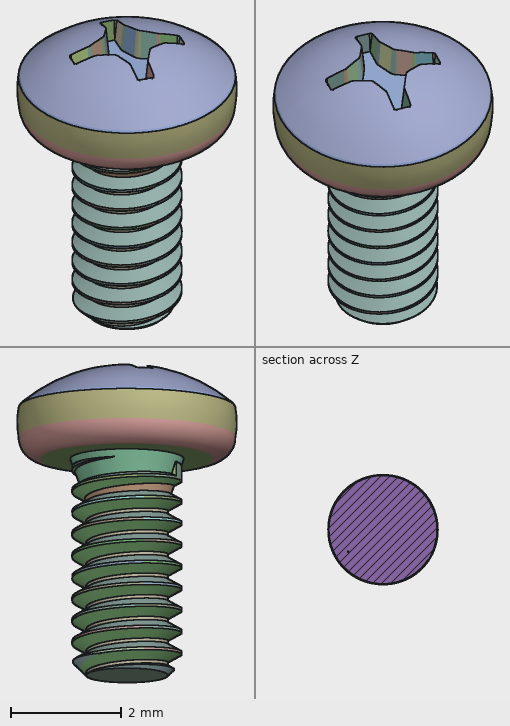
import cadquery as cq
import math


HEAD_RADIUS = 2.0
HEAD_BULGE = 0.025
UNDERSIDE_ROUND = 0.4
DOME_RADIUS = 3.0
DOME_TOP = 1.7
DOME_EDGE_RADIUS = 1.945
SIDE_TOP = 0.945

RECESS_FLOOR = 1.1
RECESS_DRAFT = 5.5
ARM_LENGTH = 1.02
ARM_HALF_WIDTH = 0.12
ARM_ROOT = 0.65
INNER_CORNER = 0.29
WALL_ROUND = 0.2

LENGTH = 4.0
SHANK_RADIUS = 1.0
TIP_CHAMFER = 0.255
NECK_RADIUS = 1.035
NECK_PLAIN_TOP = 0.13
NECK_CONE_LENGTH = 0.8

PITCH = 0.4
THREAD_DEPTH = 0.25
ROOT_RADIUS = SHANK_RADIUS - THREAD_DEPTH
CREST_WIDTH = PITCH / 8
FLANK_ANGLE = 30.0
GROOVE_TOP = -0.27
GROOVE_TURNS = 10
GROOVE_RUNOUT = 1 / 8
CLEARANCE = 0.03


def dome_height(radius):
    """Height of the spherical dome at a distance from the axis."""
    return DOME_TOP - DOME_RADIUS + math.sqrt(DOME_RADIUS**2 - radius**2)


def make_head():
    wall_radius = HEAD_RADIUS - HEAD_BULGE
    round_center = wall_radius - UNDERSIDE_ROUND
    round_middle = UNDERSIDE_ROUND * math.sin(math.radians(45))
    dome_middle = DOME_EDGE_RADIUS / 2
    side_middle = (UNDERSIDE_ROUND + SIDE_TOP) / 2
    return (
        cq.Workplane("YZ")
        .moveTo(0, 0)
        .lineTo(round_center, 0)
        .threePointArc(
            (round_center + round_middle, UNDERSIDE_ROUND - round_middle),
            (wall_radius, UNDERSIDE_ROUND),
        )
        .threePointArc((HEAD_RADIUS, side_middle), (wall_radius, SIDE_TOP))
        .lineTo(DOME_EDGE_RADIUS, dome_height(DOME_EDGE_RADIUS))
        .threePointArc((dome_middle, dome_height(dome_middle)), (0, DOME_TOP))
        .close()
        .revolve(360, (0, 0, 0), (0, 1, 0))
    )


def make_recess():
    """Four-armed recess with a flat floor and drafted walls."""
    quarter_outline = [
        (ARM_LENGTH, -ARM_HALF_WIDTH),
        (ARM_LENGTH, ARM_HALF_WIDTH),
        (ARM_ROOT, ARM_HALF_WIDTH),
        (INNER_CORNER, INNER_CORNER),
        (ARM_HALF_WIDTH, ARM_ROOT),
    ]
    outline = []
    for quarter in range(4):
        for x, y in quarter_outline:
            for _ in range(quarter):
                x, y = -y, x
            outline.append((x, y))
    reach = (ARM_ROOT + ARM_LENGTH) / 2
    inner_corners = cq.selectors.BoxSelector((-reach, -reach, -reach), (reach, reach, reach))
    floor = cq.Sketch().polygon(outline + outline[:1]).vertices(inner_corners).fillet(WALL_ROUND)
    depth = DOME_TOP + CLEARANCE - RECESS_FLOOR
    return (
        cq.Workplane("XY", origin=(0, 0, RECESS_FLOOR))
        .placeSketch(floor)
        .extrude(depth, taper=-RECESS_DRAFT)
    )


def make_thread_groove():
    """Trapezoidal groove swept along the thread helix."""
    outer_radius = SHANK_RADIUS + CLEARANCE
    flank_slope = math.tan(math.radians(FLANK_ANGLE))
    crest_half_gap = (PITCH - CREST_WIDTH) / 2
    root_half = crest_half_gap - THREAD_DEPTH * flank_slope
    outer_half = crest_half_gap + CLEARANCE * flank_slope
    turns = GROOVE_TURNS + GROOVE_RUNOUT
    start_height = GROOVE_TOP - GROOVE_TURNS * PITCH
    helix = cq.Wire.makeHelix(PITCH, turns * PITCH, SHANK_RADIUS, cq.Vector(0, 0, start_height))
    return (
        cq.Workplane("XZ")
        .polyline(
            [
                (ROOT_RADIUS, start_height - root_half),
                (outer_radius, start_height - outer_half),
                (outer_radius, start_height + outer_half),
                (ROOT_RADIUS, start_height + root_half),
            ]
        )
        .close()
        .sweep(cq.Workplane(helix), isFrenet=True)
    )


def make_shank():
    """Threaded cylinder with a 45 degree tip chamfer."""
    blank = (
        cq.Workplane("XY", origin=(0, 0, -LENGTH))
        .circle(SHANK_RADIUS)
        .extrude(LENGTH - NECK_PLAIN_TOP)
        .faces("<Z")
        .chamfer(TIP_CHAMFER)
    )
    return blank.cut(make_thread_groove())


def make_neck():
    """Cone under the head that narrows to the thread root."""
    return (
        cq.Workplane("YZ")
        .polyline([(0, 0), (NECK_RADIUS, 0), (ROOT_RADIUS, -NECK_CONE_LENGTH), (0, -NECK_CONE_LENGTH)])
        .close()
        .revolve(360, (0, 0, 0), (0, 1, 0))
    )


head = make_head().cut(make_recess())
result = head.union(make_neck()).union(make_shank())